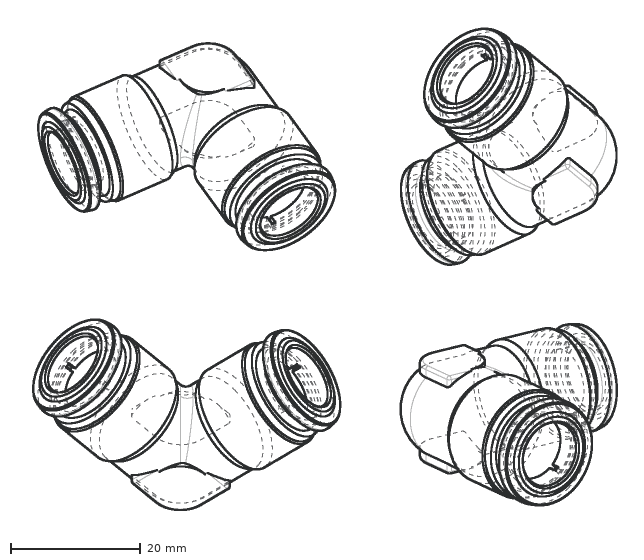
import cadquery as cq
import math


overall = 34.75
barrel_radius = 8.75
port_reach = overall - barrel_radius

body_radius = 8.03
crotch_radius = 1.4

flare_start = 9.95
barrel_start = 11.22
barrel_end = 19.98
cap_start = 20.3
cap_end = 21.5
body_end = 22.83
cap_start_radius = 8.48
cap_end_radius = 8.25
nose_start_radius = 7.23
nose_end_radius = 6.85

neck_radius = 6.0
neck_round = 0.5
flange_start = 23.98
flange_taper_start = 24.4
flange_end = 25.6
flange_radius = 8.5
flange_end_radius = 8.3
flange_round = 0.2
lip_base_radius = 6.8
lip_radius = 6.15

bore_radius = 5.1
bore_mouth_radius = 5.4
bore_mouth_depth = 0.4
bore_floor = 21.45
slit_width = 0.7
slit_end = 22.95
x_port_slit_angle = -14.0
y_port_slit_angle = 41.0

pad_radius = 5.05
pad_reach = 6.0
pad_round = 0.5


def revolve_port():
    """Solid port along +X, from the elbow centre to the collet lip."""
    neck_round_start = flange_start - neck_round
    root_radius = neck_radius + neck_round
    round_mid = neck_round * math.sqrt(0.5)
    return (
        cq.Workplane("XY")
        .lineTo(0, body_radius)
        .lineTo(flare_start, body_radius)
        .lineTo(barrel_start, barrel_radius)
        .lineTo(barrel_end, barrel_radius)
        .lineTo(cap_start, cap_start_radius)
        .lineTo(cap_end, cap_end_radius)
        .lineTo(cap_end, nose_start_radius)
        .lineTo(body_end, nose_end_radius)
        .lineTo(body_end, neck_radius)
        .lineTo(neck_round_start, neck_radius)
        .threePointArc(
            (neck_round_start + round_mid, root_radius - round_mid),
            (flange_start, root_radius),
        )
        .lineTo(flange_start, flange_radius)
        .lineTo(flange_taper_start, flange_radius)
        .lineTo(flange_end - flange_round, flange_end_radius)
        .lineTo(flange_end, flange_end_radius - flange_round)
        .lineTo(flange_end, lip_base_radius)
        .lineTo(port_reach, lip_radius)
        .lineTo(port_reach, 0)
        .close()
        .revolve(360, (0, 0, 0), (1, 0, 0))
    )


def port_bore(slit_angle):
    """Flared tube bore along +X with two opposite slits through the collet wall."""
    bore = (
        cq.Workplane("XY")
        .moveTo(bore_floor, 0)
        .lineTo(bore_floor, bore_radius)
        .lineTo(port_reach - bore_mouth_depth, bore_radius)
        .lineTo(port_reach, bore_mouth_radius)
        .lineTo(port_reach, 0)
        .close()
        .revolve(360, (0, 0, 0), (1, 0, 0))
    )
    slit = (
        cq.Workplane("YZ", origin=(bore_floor, 0, 0))
        .rect(slit_width, 2 * neck_radius)
        .extrude(slit_end - bore_floor)
        .intersect(cq.Workplane("YZ").circle(neck_radius).extrude(port_reach))
        .rotate((0, 0, 0), (1, 0, 0), slit_angle)
    )
    return bore.union(slit)


def to_y_port(shape):
    """Turn a +X port shape so that it points along -Y."""
    return shape.rotate((0, 0, 0), (0, 0, 1), -90)


def round_upright_edge(block, x, y):
    """Round the block's vertical edge that stands at (x, y)."""
    edge = cq.selectors.NearestToPointSelector((x, y, 0))
    return block.edges("|Z").edges(edge).fillet(pad_round)


def elbow_pads():
    """L-shaped block through the elbow, its two ends level with the top and bottom of the body.

    The arms have rounded edges; the inner corner between them is a plain quarter disc.
    """
    arms = (
        cq.Workplane("XY", origin=(0, 0, -body_radius))
        .moveTo(-pad_radius, -pad_reach)
        .lineTo(pad_reach, -pad_reach)
        .lineTo(pad_reach, pad_radius)
        .lineTo(0, pad_radius)
        .radiusArc((-pad_radius, 0), -pad_radius)
        .close()
        .extrude(2 * body_radius)
    )
    inner_corner = (
        cq.Workplane("XY")
        .rect(pad_reach, -pad_reach, centered=False)
        .extrude(body_radius, both=True)
    )
    arms = round_upright_edge(arms, pad_reach, pad_radius)
    arms = round_upright_edge(arms, -pad_radius, -pad_reach)
    arms = arms.faces("|Z").edges().fillet(pad_round).cut(inner_corner)
    disc = cq.Workplane("XY").circle(pad_radius).extrude(body_radius, both=True)
    return arms.union(disc.intersect(inner_corner))


def round_crotch(body):
    """Round the edge where the two ports meet in the inner corner, from pad to pad."""
    pad_corner = pad_radius * math.sqrt(0.5)
    clearance = 0.35
    crotch_edges = cq.selectors.BoxSelector(
        (pad_corner - clearance, -body_radius - clearance, -body_radius),
        (body_radius + clearance, -pad_corner + clearance, body_radius),
        boundingbox=True,
    )
    return body.edges(crotch_edges).fillet(crotch_radius)


elbow = revolve_port().union(to_y_port(revolve_port()))
elbow = elbow.union(cq.Workplane("XY").sphere(body_radius))
elbow = elbow.union(elbow_pads())
elbow = round_crotch(elbow)
elbow = elbow.cut(port_bore(x_port_slit_angle))
result = elbow.cut(to_y_port(port_bore(y_port_slit_angle)))